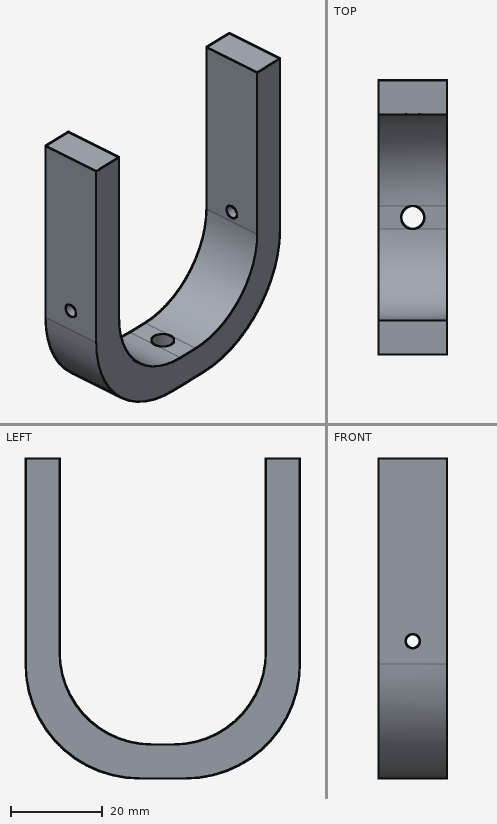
import cadquery as cq

width = 15.0
depth = 60.0
height = 70.0

wall = 7.5
outer_radius = 25.0
inner_radius = 20.0

arm_hole_diameter = 3.0
arm_hole_height = 30.0
base_hole_diameter = 5.0


def rounded_block(block_depth, bottom, radius):
    """Block across the full width, with its two lower edges rounded."""
    block_height = height - bottom
    return (
        cq.Workplane("XY")
        .workplane(offset=bottom)
        .box(width, block_depth, block_height, centered=(True, True, False))
        .edges("|X and <Z")
        .fillet(radius)
    )


outer = rounded_block(depth, 0, outer_radius)
channel = rounded_block(depth - 2 * wall, wall, inner_radius)
strap = outer.cut(channel)

arm_holes = (
    cq.Workplane("XZ")
    .center(0, arm_hole_height)
    .circle(arm_hole_diameter / 2)
    .extrude(depth / 2, both=True)
)

base_hole = cq.Workplane("XY").circle(base_hole_diameter / 2).extrude(wall)

result = strap.cut(arm_holes).cut(base_hole)